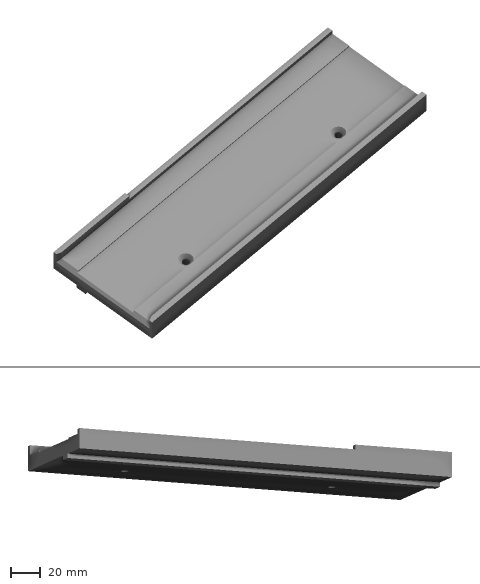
import cadquery as cq

length = 270.0
width = 90.0
height = 20.0

key_depth = 3.0
key_width = 8.0
key_offset = 21.0
wall = 4.0
wall_height = 6.5
recess_width = 50.8
recess_depth = 0.8

low_wall_start = 70.2
low_wall_drop = 3.2

flare_length = 3.5
flare_side = 1.48
flare_drop = 2.02

hole_diameter = 5.5
sink_diameter = 10.5
sink_angle = 90.0
hole_x = 65.0 - width / 2
hole_front_y = 60.0
hole_spacing = 150.0
hole_count = 2

left = -width / 2
shelf_z = height - wall_height
recess_z = shelf_z - recess_depth
channel_width = width - 2 * wall


def block(x, y, z, size_x, size_y, size_z):
    """Box positioned by its left, front, bottom corner."""
    return cq.Workplane("XY").box(size_x, size_y, size_z, centered=False).translate((x, y, z))


def make_tray():
    """Channel with a shallow central recess and a locating key underneath."""
    body = block(left, 0, key_depth, width, length, height - key_depth)
    key = block(left + key_offset, 0, 0, key_width, length, key_depth)
    channel = block(-channel_width / 2, 0, shelf_z, channel_width, length, wall_height)
    recess = block(-recess_width / 2, 0, recess_z, recess_width, length, recess_depth)
    return body.union(key).cut(channel).cut(recess)


def make_left_wall_step():
    """Material removed from the top of the left wall behind its tall front part."""
    return block(left, low_wall_start, height - low_wall_drop, wall, length - low_wall_start, low_wall_drop)


def make_flare():
    """Tapered opening that widens and deepens the channel toward the front end."""
    front_width = channel_width + 2 * flare_side
    front_height = wall_height + flare_drop
    return (
        cq.Workplane("XZ")
        .center(0, height - front_height / 2)
        .rect(front_width, front_height)
        .workplane(offset=-flare_length)
        .center(0, flare_drop / 2)
        .rect(channel_width, wall_height)
        .loft(ruled=True)
    )


def drill_screw_holes(tray):
    """Through holes countersunk from the recess floor."""
    centers = [(hole_x, hole_front_y + i * hole_spacing) for i in range(hole_count)]
    return (
        tray
        .copyWorkplane(cq.Workplane("XY", origin=(0, 0, recess_z)))
        .pushPoints(centers)
        .cskHole(hole_diameter, sink_diameter, sink_angle)
    )


tray = make_tray().cut(make_left_wall_step()).cut(make_flare())
result = drill_screw_holes(tray)